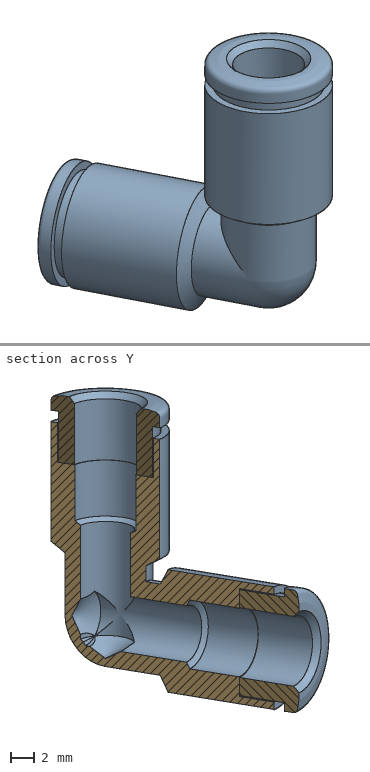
import cadquery as cq
import math

overall_length = 25.0
sleeve_diameter = 11.0
sleeve_radius = sleeve_diameter / 2
leg_length = overall_length - sleeve_radius

sleeve_start = 2.5
shoulder_start = 13.2
shoulder_end = leg_length - sleeve_radius
neck_radius = 8.2 / 2

collet_pocket_radius = 9.6 / 2
tube_seat_radius = 6.1 / 2
tube_seat_depth = 11.0
tube_stop_length = 0.32
flow_radius = 5.0 / 2
flow_overrun = 2.0
drill_tip_length = 1.35

collet_length = 6.0
collet_bore_radius = 6.2 / 2
stem_radius = 9.5 / 2
flange_thickness = 1.5
mouth_radius = 7.25 / 2
mouth_depth = 0.55
face_radius = 8.6 / 2
face_slope = math.radians(10)
rim_round = 0.5


def revolve_profile(profile):
    """Turn a closed (radius, depth) profile about the leg axis."""
    return profile.close().revolve(360, (0, 0, 0), (0, 1, 0))


def along_horizontal_leg(shape):
    """Carry a shape from leg coordinates, open end at the origin, to the -X leg."""
    return shape.rotate((0, 0, 0), (0, 0, 1), -90).translate((0, 0, sleeve_radius))


def along_vertical_leg(shape):
    """Carry a shape from leg coordinates, open end at the origin, to the +Z leg."""
    return shape.rotate((0, 0, 0), (1, 0, 0), -90).translate((leg_length, 0, overall_length))


leg_placements = (along_horizontal_leg, along_vertical_leg)


def make_leg_exterior():
    """Sleeve, conical shoulder and neck, up to the corner."""
    return revolve_profile(
        cq.Workplane("XY")
        .moveTo(0, sleeve_start)
        .lineTo(sleeve_radius, sleeve_start)
        .lineTo(sleeve_radius, shoulder_start)
        .lineTo(neck_radius, shoulder_end)
        .lineTo(neck_radius, leg_length)
        .lineTo(0, leg_length)
    )


def make_leg_bore():
    """Collet pocket, tube seat and flow bore with a conical drill tip."""
    flow_end = leg_length + flow_overrun
    return revolve_profile(
        cq.Workplane("XY")
        .moveTo(0, sleeve_start)
        .lineTo(collet_pocket_radius, sleeve_start)
        .lineTo(collet_pocket_radius, collet_length)
        .lineTo(tube_seat_radius, collet_length)
        .lineTo(tube_seat_radius, tube_seat_depth)
        .lineTo(flow_radius, tube_seat_depth + tube_stop_length)
        .lineTo(flow_radius, flow_end)
        .lineTo(0, flow_end + drill_tip_length)
    )


def make_elbow_body():
    """Two legs joined by a ball corner, then bored from both ends."""
    body = cq.Workplane("XY").sphere(neck_radius).translate((leg_length, 0, sleeve_radius))
    for place in leg_placements:
        body = body.union(place(make_leg_exterior()))
    for place in leg_placements:
        body = body.cut(place(make_leg_bore()))
    return body


def make_collet():
    """Release collet: flange with rounded rim, stem, and bore with a conical mouth."""
    round_center_radius = sleeve_radius - rim_round
    round_start_radius = round_center_radius + rim_round * math.sin(face_slope)
    round_start_depth = (round_start_radius - face_radius) * math.tan(face_slope)
    round_end_depth = round_start_depth + rim_round * math.cos(face_slope)
    middle_angle = (math.pi / 2 + face_slope) / 2
    round_middle = (
        round_center_radius + rim_round * math.sin(middle_angle),
        round_end_depth - rim_round * math.cos(middle_angle),
    )
    return revolve_profile(
        cq.Workplane("XY")
        .moveTo(mouth_radius, 0)
        .lineTo(face_radius, 0)
        .lineTo(round_start_radius, round_start_depth)
        .threePointArc(round_middle, (sleeve_radius, round_end_depth))
        .lineTo(sleeve_radius, flange_thickness)
        .lineTo(stem_radius, flange_thickness)
        .lineTo(stem_radius, collet_length)
        .lineTo(collet_bore_radius, collet_length)
        .lineTo(collet_bore_radius, mouth_depth)
    )


elbow_body = make_elbow_body()
collets = [place(make_collet()) for place in leg_placements]

result = cq.Compound.makeCompound([elbow_body.solids().val(), *[collet.val() for collet in collets]])